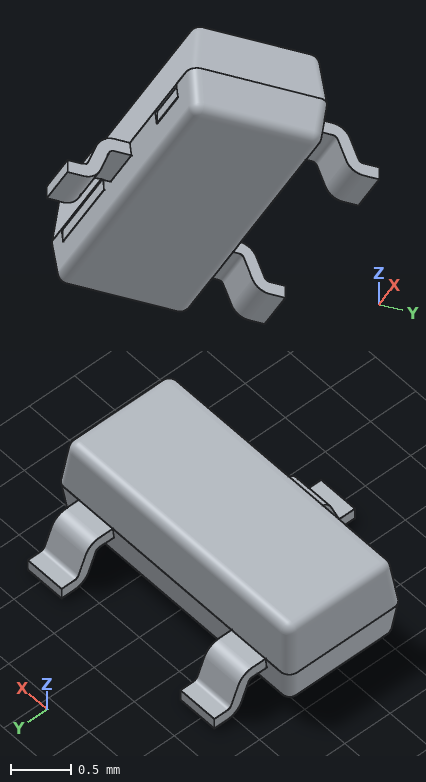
import cadquery as cq
import math

housing_length = 2.9
housing_width = 1.27
housing_bottom = 0.045
parting_height = 0.45
housing_top = 0.95
draft_angle = 6.5
edge_radius = 0.1

lead_span = 2.4
lead_width = 0.423
lead_thickness = 0.122
lead_pitch = 1.905
bend_angle = math.radians(68)
inner_bend_radius = 0.05
outer_bend_radius = inner_bend_radius + lead_thickness
foot_length = 0.142

tie_bar_bottom = parting_height - lead_thickness
wide_bar_left = -1.177
wide_bar_right = -0.342
wide_bar_setback = 0.012
narrow_bar_left = 0.722
narrow_bar_right = 1.155
narrow_bar_setback = 0.02

mean_bend_radius = (inner_bend_radius + outer_bend_radius) / 2
bend_drop = mean_bend_radius * (1 - math.cos(bend_angle))
slope_drop = tie_bar_bottom - 2 * bend_drop
slope_run = slope_drop / math.tan(bend_angle)
bends_run = 2 * mean_bend_radius * math.sin(bend_angle) + slope_run

lead_tip = lead_span / 2
ankle_y = lead_tip - foot_length
knee_y = ankle_y - bends_run


def housing_half(height):
    """Drafted block from the parting plane, upwards or (negative height) downwards."""
    block = (
        cq.Workplane("XY")
        .rect(housing_length, housing_width)
        .extrude(abs(height), taper=draft_angle)
        .edges("not <Z")
        .fillet(edge_radius)
    )
    if height < 0:
        block = block.mirror("XY")
    return block.translate((0, 0, parting_height))


def knee_point(radius, angle):
    """Point of the upper bend, the given angle past the level arm."""
    centre_z = parting_height - outer_bend_radius
    return (knee_y + radius * math.sin(angle), centre_z + radius * math.cos(angle))


def ankle_point(radius, angle):
    """Point of the lower bend, the given angle before the level foot."""
    centre_z = outer_bend_radius
    return (ankle_y - radius * math.sin(angle), centre_z - radius * math.cos(angle))


def gull_wing_lead(centre_x):
    """Lead that starts at the housing's middle plane and steps down to a foot at +Y."""
    half_bend = bend_angle / 2
    return (
        cq.Workplane("YZ")
        .moveTo(0, parting_height)
        .lineTo(*knee_point(outer_bend_radius, 0))
        .threePointArc(knee_point(outer_bend_radius, half_bend), knee_point(outer_bend_radius, bend_angle))
        .lineTo(*ankle_point(inner_bend_radius, bend_angle))
        .threePointArc(ankle_point(inner_bend_radius, half_bend), ankle_point(inner_bend_radius, 0))
        .lineTo(lead_tip, lead_thickness)
        .lineTo(lead_tip, 0)
        .lineTo(*ankle_point(outer_bend_radius, 0))
        .threePointArc(ankle_point(outer_bend_radius, half_bend), ankle_point(outer_bend_radius, bend_angle))
        .lineTo(*knee_point(inner_bend_radius, bend_angle))
        .threePointArc(knee_point(inner_bend_radius, half_bend), knee_point(inner_bend_radius, 0))
        .lineTo(0, tie_bar_bottom)
        .close()
        .extrude(lead_width / 2, both=True)
        .translate((centre_x, 0, 0))
    )


def tie_bar(left, right, setback):
    """Flat bar from the middle plane towards the front face."""
    length = housing_width / 2 - setback
    return cq.Workplane("XY").box(right - left, length, lead_thickness, centered=False).translate(
        (left, -length, tie_bar_bottom)
    )


def lead_slot(left, right, front, back):
    """Slot in the top of the lower half, as deep as a lead is thick."""
    return cq.Workplane("XY").box(right - left, back - front, lead_thickness, centered=False).translate(
        (left, front, tie_bar_bottom)
    )


back_leads = []
lead_slots = []
for centre_x, bar_left, bar_right, setback in (
    (-lead_pitch / 2, wide_bar_left, wide_bar_right, wide_bar_setback),
    (lead_pitch / 2, narrow_bar_left, narrow_bar_right, narrow_bar_setback),
):
    back_leads.append(gull_wing_lead(centre_x).union(tie_bar(bar_left, bar_right, setback)))
    lead_left = centre_x - lead_width / 2
    lead_slots.append(lead_slot(bar_left, bar_right, -housing_width / 2, 0))
    lead_slots.append(lead_slot(lead_left, lead_left + lead_width, 0, housing_width / 2))

front_lead = gull_wing_lead(0).rotate((0, 0, 0), (0, 0, 1), 180)
lead_slots.append(lead_slot(-lead_width / 2, lead_width / 2, -housing_width / 2, 0))

upper_housing = housing_half(housing_top - parting_height)
lower_housing = housing_half(housing_bottom - parting_height)
for slot in lead_slots:
    lower_housing = lower_housing.cut(slot)

bodies = [upper_housing, lower_housing, *back_leads, front_lead]
result = cq.Compound.makeCompound([body.solids().val() for body in bodies])